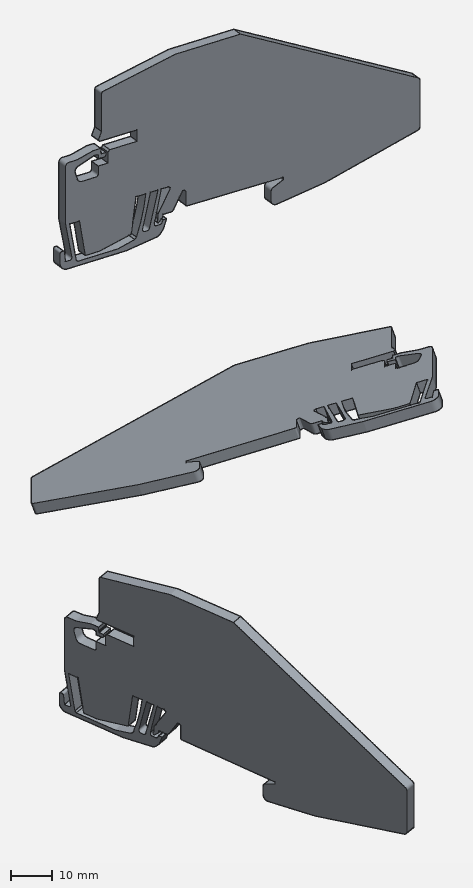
import cadquery as cq
import math

thickness = 3.0
length = 104.7
height = 50.3

top_edge_start = 33.5
top_edge_end = 52.5
head_face = 12.0
head_face_top = 46.1
head_face_bottom = 35.2
lip_tip = 11.1
lip_height = 0.4
slot_top = 32.6
slot_end = 22.4
shoulder_level = 29.4
latch_top = 30.6
clip_wall = 1.6
clip_wall_bottom = 12.7

pocket_floor = 23.0
pocket_step = 25.9
pocket_wall = 11.1
entry_wall = 13.9
entry_chamfer = 0.5
latch_tip = 13.3
latch_tip_top = 29.0
latch_tip_bottom = 27.9

tab_top = 5.3
tab_width = 1.3
tab_foot_round = 2.1
toe_tip = 31.0
toe_level = 5.4
strip_top = 1.3
block_bottom = 2.2
spring_slot_top = 14.1
window_side_top = 12.3
finger_slot_floor = 4.4
spring_slot_floor = 3.8

rail_level = 7.2
rail_drop = 0.3
finger_level = rail_level - rail_drop
finger_end = 29.9
finger_end_bottom = 6.3
notch_wall = 36.5
notch_top = 11.8
fixed_hook_face = 61.4
fixed_hook_throat = 64.9
fixed_hook_corner = -0.2
fixed_hook_round = 1.5

blunt_end_bottom = 8.6
blunt_end_top = 22.6

small_round = 0.4
medium_round = 0.6
large_round = 1.0
cut_overlap = 0.2


def rounded_corner(before, corner, after):
    """Return the start, middle and end of the arc that rounds a corner, or None if it is sharp."""
    y, z, radius = corner
    if radius == 0:
        return None
    angle_in = math.atan2(before[1] - z, before[0] - y)
    angle_out = math.atan2(after[1] - z, after[0] - y)
    half_angle = math.remainder(angle_out - angle_in, 2 * math.pi) / 2
    setback = radius / math.tan(abs(half_angle))
    middle_distance = radius / math.sin(abs(half_angle)) - radius

    def along(angle, distance):
        return (y + distance * math.cos(angle), z + distance * math.sin(angle))

    return (
        along(angle_in, setback),
        along(angle_in + half_angle, middle_distance),
        along(angle_out, setback),
    )


def plate(corners):
    """Extrude a closed outline of (Y, Z, corner radius) through the full thickness."""
    count = len(corners)
    outline = cq.Workplane("YZ").workplane(offset=-thickness / 2)
    for index, corner in enumerate(corners):
        arc = rounded_corner(corners[index - 1], corner, corners[(index + 1) % count])
        start = arc[0] if arc else corner[:2]
        outline = outline.lineTo(*start) if index else outline.moveTo(*start)
        if arc:
            outline = outline.threePointArc(arc[1], arc[2])
    return outline.close().extrude(thickness)


def body():
    """Outer outline: head, clip end, release tab, spring clip, rail recess and fixed rail hook."""
    head_and_clip_end = [
        (top_edge_end, height, 0),
        (top_edge_start, height, 0),
        (head_face, head_face_top, medium_round),
        (head_face, head_face_bottom, 0),
        (lip_tip, slot_top + lip_height, 0),
        (lip_tip + lip_height, slot_top, 0),
        (head_face, slot_top, 0),
        (head_face, latch_top, 0),
        (9.6, latch_top, 0),
        (5.0, shoulder_level, 4.2),
        (clip_wall, shoulder_level, large_round),
        (clip_wall, clip_wall_bottom, 0),
    ]
    release_tab = [
        (3.6, block_bottom, medium_round),
        (clip_wall, block_bottom, 0),
        (tab_width, tab_top, 0.5),
        (0, tab_top, 0.5),
        (0, 0, tab_foot_round),
    ]
    spring_clip_toe = [
        (19.3, 0, 0),
        (28.7, strip_top, 2.1),
        (30.0, 2.8, 0),
        (toe_tip, toe_level, 0),
        (finger_end, toe_level, 0),
    ]
    rail_recess = [
        (finger_end, finger_level, 0),
        (32.8, finger_level, large_round),
        (35.6, notch_top, 0.2),
        (36.1, notch_top, 0.2),
        (notch_wall, notch_top - small_round, 0),
        (notch_wall, rail_level, small_round),
        (fixed_hook_throat, finger_level, 0),
    ]
    fixed_hook_and_blunt_end = [
        (fixed_hook_throat, 6.3, 0),
        (fixed_hook_face, 4.7, large_round),
        (fixed_hook_face, fixed_hook_corner, fixed_hook_round),
        (77.1, 1.9, 0),
        (length, blunt_end_bottom, large_round),
        (length, blunt_end_top, large_round),
    ]
    return plate(
        head_and_clip_end + release_tab + spring_clip_toe + rail_recess + fixed_hook_and_blunt_end
    )


def head_slot():
    """Horizontal slot that separates the head from the clip end."""
    return plate([
        (head_face - cut_overlap, slot_top, 0),
        (slot_end, slot_top, 0),
        (slot_end, shoulder_level, 0),
        (head_face - cut_overlap, shoulder_level, 0),
    ])


def latch_pocket():
    """Pocket behind the small latch, opening into the head slot past the latch tip."""
    slot_side = [
        (entry_wall + entry_chamfer, shoulder_level + cut_overlap, 0),
        (entry_wall + entry_chamfer, shoulder_level, 0),
        (entry_wall, shoulder_level - entry_chamfer, 0),
        (entry_wall, pocket_step, 0),
        (pocket_wall, pocket_step, 0),
    ]
    chamber = [
        (pocket_wall, pocket_floor, medium_round),
        (5.3, pocket_floor, 1.5),
        (4.1, 27.1, 1.3),
        (10.3, 29.2, 0.5),
        (pocket_wall, 28.9, 0),
    ]
    latch = [
        (pocket_wall, latch_tip_bottom, 0),
        (latch_tip, latch_tip_bottom, 0.5),
        (latch_tip, latch_tip_top, 0),
        (head_face, latch_tip_top, 0),
        (head_face, shoulder_level + cut_overlap, 0),
    ]
    return plate(slot_side + chamber + latch)


def finger_slot():
    """Slot between the finger and the first spring leg, hooking under the finger to the outside."""
    upper_end = [
        (31.9, 13.3, 0),
        (32.0, 13.7, 0),
        (31.5, spring_slot_top, 0),
        (29.4, spring_slot_top, 0),
    ]
    hooked_passage = [
        (27.4, 5.2, 0),
        (27.5, finger_slot_floor, small_round),
        (29.4, finger_slot_floor, medium_round),
        (finger_end, toe_level, 0),
        (finger_end + cut_overlap, toe_level, 0),
    ]
    finger_tip = [
        (finger_end + cut_overlap, finger_end_bottom, 0),
        (finger_end, finger_end_bottom, 0),
        (28.5, 4.9, 0.2),
        (28.2, 5.3, 0.2),
        (28.5, 6.1, 0),
        (28.5, 7.5, 0),
    ]
    return plate(upper_end + hooked_passage + finger_tip)


def spring_slot():
    """Closed slot between the two spring legs."""
    end_round = 0.7
    return plate([
        (28.5, spring_slot_top, 0),
        (26.3, spring_slot_top, 0),
        (23.8, spring_slot_floor, end_round),
        (25.9, spring_slot_floor, end_round),
    ])


def window():
    """U-shaped window around the hanging block, with a bowed side along the second spring leg."""
    return (
        cq.Workplane("YZ").workplane(offset=-thickness / 2)
        .moveTo(22.1, spring_slot_top)
        .lineTo(24.9, spring_slot_top)
        .threePointArc((24.0, 8.8), (22.2, 2.9))
        .lineTo(21.7, 2.4)
        .lineTo(16.9, strip_top)
        .lineTo(5.1, strip_top)
        .lineTo(4.7, 1.7)
        .lineTo(2.8, window_side_top)
        .lineTo(5.7, window_side_top)
        .lineTo(7.3, block_bottom)
        .lineTo(11.4, block_bottom)
        .lineTo(20.7, 4.2)
        .close()
        .extrude(thickness)
    )


result = body()
for opening in (head_slot(), latch_pocket(), finger_slot(), spring_slot(), window()):
    result = result.cut(opening)